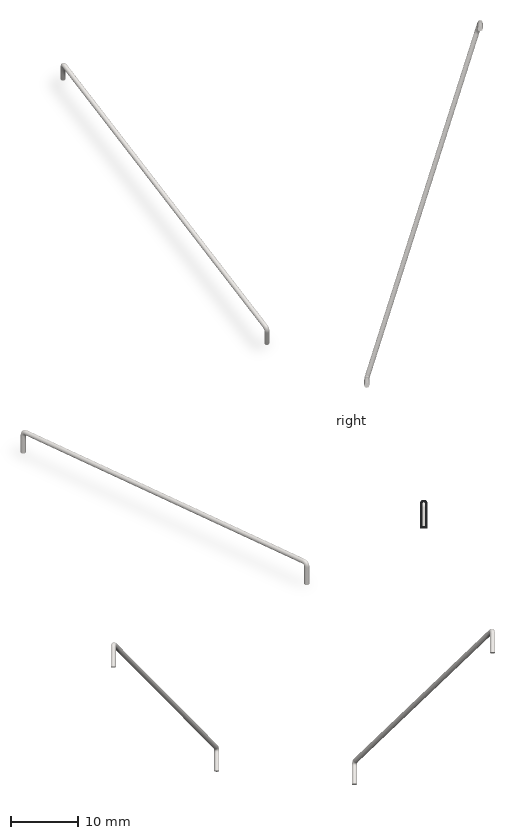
import cadquery as cq

wire_diameter = 0.75
leg_spacing = 58.0
leg_length = 3.0
bend_radius = 0.6

wire_radius = wire_diameter / 2
leg_x = leg_spacing / 2
bar_end_x = leg_x - bend_radius
bar_z = leg_length + bend_radius


def wire_centre_line():
    """Path up the -X leg, along the bar and down the +X leg, with round bends."""
    return (
        cq.Workplane("XZ")
        .moveTo(-leg_x, 0)
        .lineTo(-leg_x, leg_length)
        .radiusArc((-bar_end_x, bar_z), bend_radius)
        .lineTo(bar_end_x, bar_z)
        .radiusArc((leg_x, leg_length), bend_radius)
        .lineTo(leg_x, 0)
    )


def bent_wire():
    """Round wire section carried along the centre line from the -X leg tip."""
    section = cq.Workplane("XY").center(-leg_x, 0).circle(wire_radius)
    return section.sweep(wire_centre_line())


result = bent_wire()